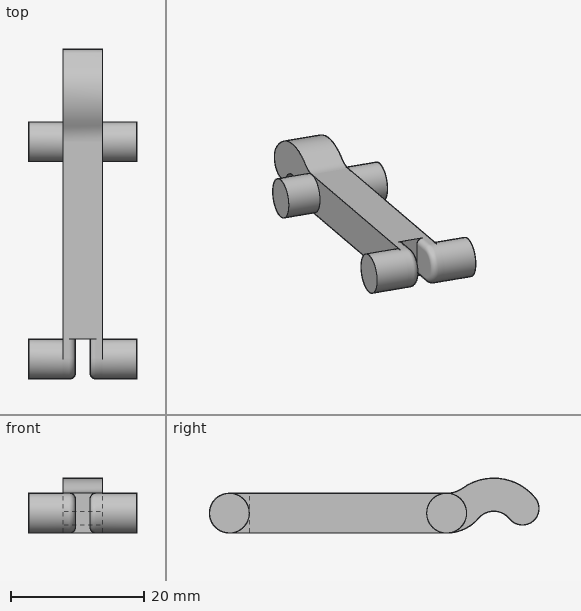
import cadquery as cq
import math

total_length = 49.5
total_height = 8.25
pin_diameter = 6.0
pin_length = 16.25
bar_width = 6.0
slot_width = 2.2
slot_fillet = 0.9

hook_outer_radius = 8.0
hook_thickness = 5.0
hook_offset = 7.1
hook_tip_angle = 38.7

pin_radius = pin_diameter / 2
hook_inner_radius = hook_outer_radius - hook_thickness
hook_mid_radius = hook_outer_radius - hook_thickness / 2
tip_radius = hook_thickness / 2
tip_angle = math.radians(hook_tip_angle)

tip_reach = hook_mid_radius * math.cos(tip_angle) + tip_radius
rear_pin_y = total_length - pin_radius - hook_offset - tip_reach
hook_y = rear_pin_y + hook_offset
hook_z = total_height - pin_radius - hook_outer_radius


def hook_point(radius, angle):
    """Point in the YZ plane at a polar position about the hook centre."""
    return hook_y + radius * math.cos(angle), hook_z + radius * math.sin(angle)


def blend(start_z, hook_radius):
    """Arc leaving the bar horizontally above the rear pin and meeting the hook tangentially.

    Returns the arc's middle point and its end on the hook circle of the given radius.
    """
    rise = start_z - hook_z
    radius = (hook_offset**2 + rise**2 - hook_radius**2) / (2 * (hook_radius - rise))
    centre_z = start_z + radius
    turn = math.atan2(hook_offset, centre_z - hook_z)
    middle = (
        rear_pin_y + radius * math.sin(turn / 2),
        centre_z - radius * math.cos(turn / 2),
    )
    end = hook_point(hook_radius, math.pi / 2 + turn)
    return middle, end


def make_body():
    """Bar with a round front end and the hook at the rear, as one constant-width profile."""
    top_middle, top_end = blend(pin_radius, hook_outer_radius)
    bottom_middle, bottom_end = blend(-pin_radius, hook_inner_radius)
    tip_centre = hook_point(hook_mid_radius, tip_angle)
    tip_middle = (
        tip_centre[0] + tip_radius * math.sin(tip_angle),
        tip_centre[1] - tip_radius * math.cos(tip_angle),
    )
    return (
        cq.Workplane("YZ")
        .moveTo(0, pin_radius)
        .lineTo(rear_pin_y, pin_radius)
        .threePointArc(top_middle, top_end)
        .threePointArc(
            hook_point(hook_outer_radius, math.pi / 2),
            hook_point(hook_outer_radius, tip_angle),
        )
        .threePointArc(tip_middle, hook_point(hook_inner_radius, tip_angle))
        .threePointArc(hook_point(hook_inner_radius, math.pi / 2), bottom_end)
        .threePointArc(bottom_middle, (rear_pin_y, -pin_radius))
        .lineTo(0, -pin_radius)
        .threePointArc((-pin_radius, 0), (0, pin_radius))
        .close()
        .extrude(bar_width / 2, both=True)
    )


def make_pin(y):
    """Cross pin along X, centred on the bar."""
    return cq.Workplane("YZ").center(y, 0).circle(pin_radius).extrude(pin_length / 2, both=True)


def make_slot():
    """Cut that splits the round front end and reaches one pin radius behind its centre."""
    slot = cq.Workplane("XY").box(slot_width, 2 * pin_diameter, 2 * pin_diameter)
    return slot.translate((0, pin_radius - pin_diameter, 0))


def round_slot_wall(part, side):
    """Round the outer rim of one slot wall, leaving its edge at the slot floor sharp."""
    wall_x = side * slot_width / 2
    tolerance = slot_width / 4
    wall_box = cq.selectors.BoxSelector(
        (wall_x - tolerance, -pin_diameter, -pin_diameter),
        (wall_x + tolerance, pin_radius - tolerance, pin_diameter),
    )
    return part.faces(wall_box).edges(wall_box).fillet(slot_fillet)


result = make_body()
for pin_y in (0, rear_pin_y):
    result = result.union(make_pin(pin_y))
result = result.cut(make_slot())
for wall_side in (-1, 1):
    result = round_slot_wall(result, wall_side)